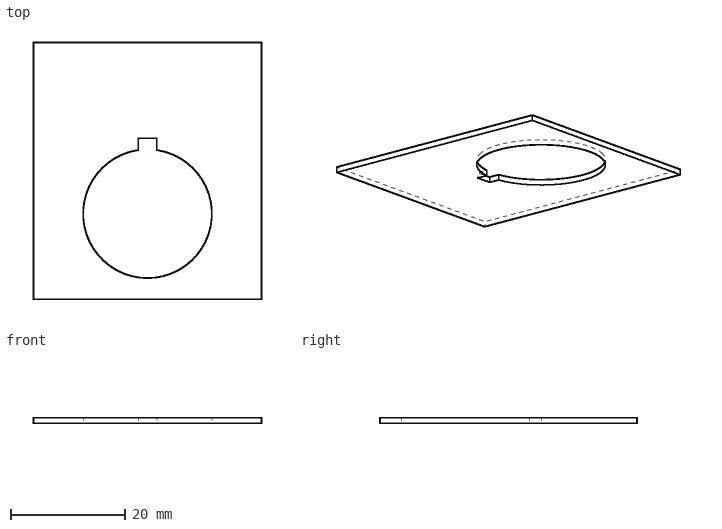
import cadquery as cq

plate_width = 40.0
mounting_field_height = 30.0
label_strip_height = 15.0
plate_thickness = 1.0

hole_diameter = 22.5
key_notch_width = 3.2
key_notch_reach = 13.2

plate_height = mounting_field_height + label_strip_height
hole_center_y = (mounting_field_height - plate_height) / 2


def make_plate():
    return cq.Workplane("XY").rect(plate_width, plate_height).extrude(plate_thickness)


def make_keyed_hole():
    """Round hole with a rectangular key notch on its +Y side."""
    center = cq.Workplane("XY").center(0, hole_center_y)
    bore = center.circle(hole_diameter / 2).extrude(plate_thickness)
    notch = (
        center.center(0, key_notch_reach / 2)
        .rect(key_notch_width, key_notch_reach)
        .extrude(plate_thickness)
    )
    return bore.union(notch)


result = make_plate().cut(make_keyed_hole())